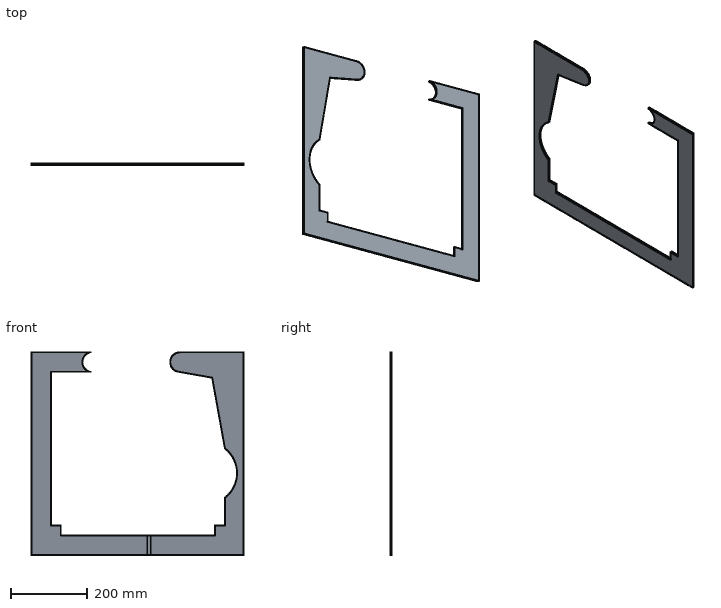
import cadquery as cq
import math

width = 559.0
height = 533.5
thickness = 5.1
rail = 52.0
right_rail = 50.0
corner_step = rail / 2

socket_tip_x = 157.0
socket_depth = 22.5

nose_radius = rail / 2
nose_center_x = 391.0
nose_center_z = height - nose_radius
taper = math.radians(10)
elbow_x = 475.5

bite_center_z = 215.5
bite_half_chord = 65.0
bite_depth = 32.0

groove_width = 10.0
groove_center_x = 309.5
groove_depth = 0.3

left_x = rail
right_x = width - right_rail
step_top_z = rail + corner_step
arm_bottom_z = height - rail

nose_end_x = nose_center_x - nose_radius * math.sin(taper)
nose_end_z = nose_center_z - nose_radius * math.cos(taper)
elbow_z = nose_end_z - (elbow_x - nose_end_x) * math.tan(taper)


def frame_plate():
    outline = (
        cq.Workplane("XZ")
        .moveTo(0, 0)
        .lineTo(width, 0)
        .lineTo(width, height)
        .lineTo(nose_center_x, height)
        .threePointArc((nose_center_x - nose_radius, nose_center_z), (nose_end_x, nose_end_z))
        .lineTo(elbow_x, elbow_z)
        .lineTo(right_x, bite_center_z + bite_half_chord)
        .threePointArc((right_x + bite_depth, bite_center_z), (right_x, bite_center_z - bite_half_chord))
        .lineTo(right_x, step_top_z)
        .lineTo(right_x - corner_step, step_top_z)
        .lineTo(right_x - corner_step, rail)
        .lineTo(left_x + corner_step, rail)
        .lineTo(left_x + corner_step, step_top_z)
        .lineTo(left_x, step_top_z)
        .lineTo(left_x, arm_bottom_z)
        .lineTo(socket_tip_x, arm_bottom_z)
        .threePointArc((socket_tip_x - socket_depth, height - rail / 2), (socket_tip_x, height))
        .lineTo(0, height)
        .close()
    )
    return outline.extrude(thickness)


def groove_cutter():
    cutter = cq.Workplane("XY").box(groove_width, groove_depth, rail, centered=(True, False, False))
    return cutter.translate((groove_center_x, -thickness, 0))


result = frame_plate().cut(groove_cutter())